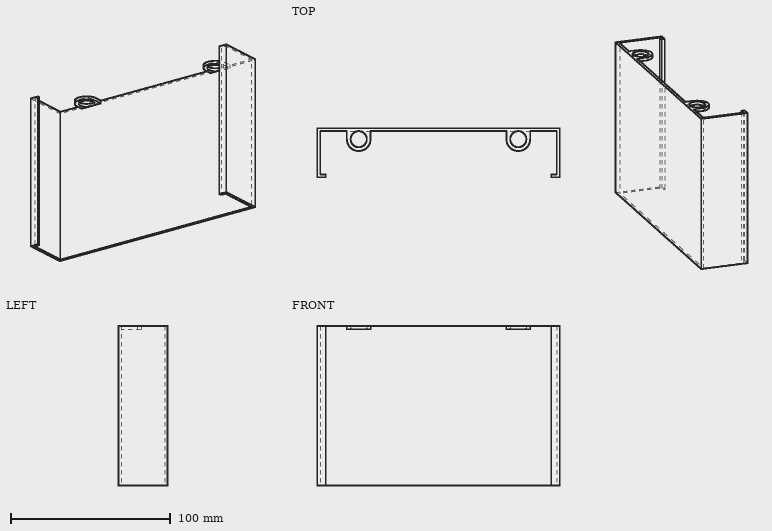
import cadquery as cq

width = 152.0
depth = 31.0
height = 100.0
wall = 2.0
lip_width = 5.5

lug_spacing = 100.0
lug_diameter = 15.0
lug_hole_diameter = 10.0
lug_thickness = 2.0
lug_embed = 0.5

inner_back_y = depth - wall
lug_center_y = inner_back_y - lug_hole_diameter / 2


def make_channel():
    """C-shaped section extruded to the full height, open towards -Y."""
    outer = cq.Workplane("XY").box(width, depth, height, centered=(True, False, False))
    cavity = (
        cq.Workplane("XY", origin=(0, wall, 0))
        .box(width - 2 * wall, depth - 2 * wall, height, centered=(True, False, False))
    )
    mouth = (
        cq.Workplane("XY")
        .box(width - 2 * lip_width, wall, height, centered=(True, False, False))
    )
    return outer.cut(cavity).cut(mouth)


def make_lug(center_x):
    """Round-nosed lug with a vertical hole, flush with the top of the channel."""
    radius = lug_diameter / 2
    root_y = inner_back_y + lug_embed
    return (
        cq.Workplane("XY", origin=(0, 0, height - lug_thickness))
        .moveTo(center_x - radius, root_y)
        .lineTo(center_x - radius, lug_center_y)
        .threePointArc((center_x, lug_center_y - radius), (center_x + radius, lug_center_y))
        .lineTo(center_x + radius, root_y)
        .close()
        .moveTo(center_x, lug_center_y)
        .circle(lug_hole_diameter / 2)
        .extrude(lug_thickness)
    )


result = make_channel()
for side in (-1, 1):
    result = result.union(make_lug(side * lug_spacing / 2))